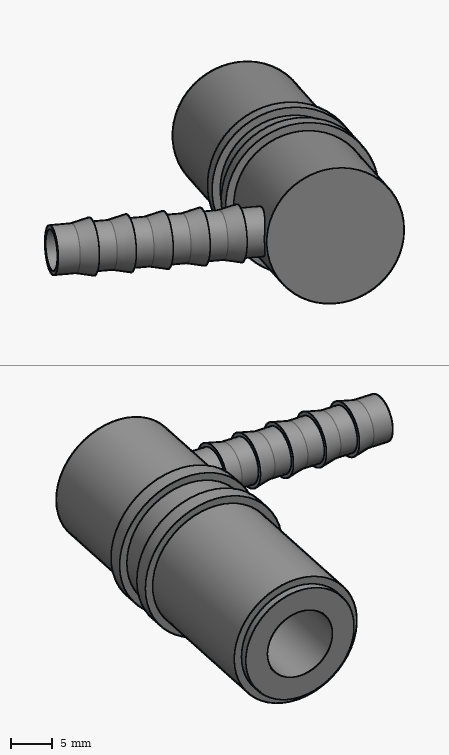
import cadquery as cq

barrel_diameter = 17.0
barrel_end = 42.5
lip_diameter = 15.0
lip_length = 1.0

ring_diameter = 19.0
ring_width = 2.0
first_ring_start = 20
ring_pitch = 6.0
ring_count = 2

tail_axis_x = 38.5
tail_diameter = 6.0
overall_y = 43.5
tail_end = overall_y - ring_diameter / 2

barb_diameter = 7.0
barb_length = 2.25
barb_pitch = 4.55
barb_count = 5
first_barb_start = 10.8

socket_diameter = 9.0
socket_depth = first_ring_start
bore_diameter = 5.0


def cylinder_along_x(diameter, start, end):
    return cq.Workplane("YZ", origin=(start, 0, 0)).circle(diameter / 2).extrude(end - start)


def make_barrel():
    lip = cylinder_along_x(lip_diameter, 0, lip_length)
    return lip.union(cylinder_along_x(barrel_diameter, lip_length, barrel_end))


def make_hose_tail():
    """Half profile of the barbed tail, revolved about its own axis."""
    tail_radius = tail_diameter / 2
    profile = [(0, 0), (tail_radius, 0)]
    for index in range(barb_count):
        barb_start = first_barb_start + index * barb_pitch
        profile += [
            (tail_radius, -barb_start),
            (barb_diameter / 2, -barb_start),
            (tail_radius, -barb_start - barb_length),
        ]
    profile += [(tail_radius, -tail_end), (0, -tail_end)]
    tail = cq.Workplane("XY").polyline(profile).close().revolve(360, (0, 0), (0, 1))
    return tail.translate((tail_axis_x, 0, 0))


def make_passage():
    socket = cylinder_along_x(socket_diameter, 0, socket_depth)
    bore_path = cq.Workplane("XY").polyline([(0, 0), (tail_axis_x, 0), (tail_axis_x, -tail_end)])
    bore = cq.Workplane("YZ").circle(bore_diameter / 2).sweep(bore_path, transition="right")
    return socket.union(bore)


def make_elbow():
    return make_barrel().union(make_hose_tail()).cut(make_passage())


def make_ring(start):
    outside = cylinder_along_x(ring_diameter, start, start + ring_width)
    return outside.cut(cylinder_along_x(barrel_diameter, start, start + ring_width))


elbow = make_elbow().solids()
rings = [make_ring(first_ring_start + index * ring_pitch).solids() for index in range(ring_count)]

result = cq.Compound.makeCompound([elbow.val(), *[ring.val() for ring in rings]])